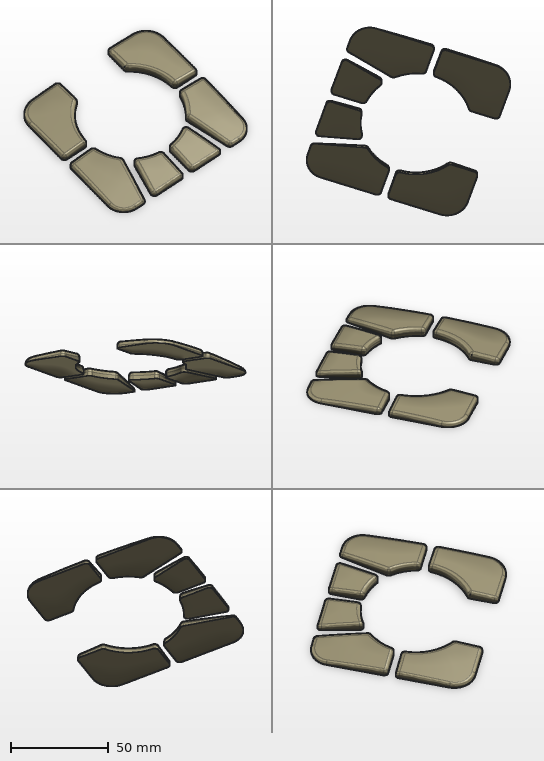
import cadquery as cq
import math

length_x = 86.4
width_y = 88.4
height = 4.4

ring_center_x = -4.0
opening_radius = 28.4
dome_radius = 457.9

column_gap = 4.0
column_gap_x = -1.3
row_gap = 4.3
slant_gap = 4.3
slant_angle = 13.8
slant_end_y = 25.3

left_pad_inner_y = 15.8
left_corner_radius = 11.2
right_corner_radius = 10.3
edge_radius = 2.1

root_depth = 4.4
tolerance = 0.01

half_x = length_x / 2
half_y = width_y / 2

rim_radius = opening_radius + edge_radius
dome_apex = height + dome_radius - math.sqrt(dome_radius**2 - rim_radius**2)

slope = math.tan(math.radians(slant_angle))
slant_half_gap_y = slant_gap / 2 / math.cos(math.radians(slant_angle))



def opening_y(x):
    """Y of the opening circle at a given X."""
    return math.sqrt(opening_radius**2 - (x - ring_center_x) ** 2)


def opening_x(y, side):
    """X of the opening circle at a given Y, on its left (-1) or right (+1) side."""
    return ring_center_x + side * math.sqrt(opening_radius**2 - y**2)


def opening_midpoint(start, end):
    """Point of the opening circle halfway between two of its points."""
    angles = [math.atan2(y, x - ring_center_x) for x, y in (start, end)]
    middle = sum(angles) / 2
    return (
        ring_center_x + opening_radius * math.cos(middle),
        opening_radius * math.sin(middle),
    )


def slant_ends(side):
    """Inner and outer end of one edge of the slanted gap, above (+1) or below (-1) its middle."""
    outer_y = slant_end_y + side * slant_half_gap_y
    rise = outer_y - slope * (half_x - ring_center_x)
    square_term = 1 + slope**2
    half_linear_term = slope * rise
    root = math.sqrt(half_linear_term**2 - square_term * (rise**2 - opening_radius**2))
    run = (root - half_linear_term) / square_term
    inner = (ring_center_x + run, rise + slope * run)
    return inner, (half_x, outer_y)



def edges_to_round(pad, outline):
    """Top rim and the upright edges over the outline's points, leaving the bottom sharp."""
    chosen = []
    for edge in pad.faces("not <Z").edges("not <Z").vals():
        spot = edge.Center()
        upright = abs(edge.tangentAt(0.5).z) > 1 - tolerance
        at_corner = any(math.hypot(spot.x - x, spot.y - y) < tolerance for x, y in outline)
        if at_corner or not upright:
            chosen.append(edge)
    return chosen


def make_pad(outline, big_corner=None, big_radius=None):
    """Domed pad whose outline runs through the points and closes along the opening."""
    pad = (
        cq.Workplane("XY", origin=(0, 0, -root_depth))
        .polyline(outline)
        .threePointArc(opening_midpoint(outline[0], outline[-1]), outline[0])
        .close()
        .extrude(root_depth + dome_apex)
    )

    if big_corner:
        corner_edge = cq.selectors.NearestToPointSelector((*big_corner, 0))
        pad = pad.edges(corner_edge).fillet(big_radius)

    dome = cq.Workplane("XY").sphere(dome_radius)
    pad = pad.intersect(dome.translate((ring_center_x, 0, dome_apex - dome_radius)))

    pad = pad.newObject(edges_to_round(pad, outline)).fillet(edge_radius)

    below = cq.Workplane("XY").box(2 * length_x, 2 * width_y, 2 * root_depth)
    return pad.cut(below.translate((0, 0, -root_depth))).solids()



def make_left_pad():
    gap_x = column_gap_x - column_gap / 2
    big_corner = (-half_x, half_y)
    outline = [
        (opening_x(left_pad_inner_y, -1), left_pad_inner_y),
        (-half_x, left_pad_inner_y),
        big_corner,
        (gap_x, half_y),
        (gap_x, opening_y(gap_x)),
    ]
    return make_pad(outline, big_corner, left_corner_radius)


def make_right_pad():
    gap_x = column_gap_x + column_gap / 2
    big_corner = (half_x, half_y)
    inner, outer = slant_ends(1)
    outline = [(gap_x, opening_y(gap_x)), (gap_x, half_y), big_corner, outer, inner]
    return make_pad(outline, big_corner, right_corner_radius)


def make_small_pad():
    gap_y = row_gap / 2
    inner, outer = slant_ends(-1)
    outline = [inner, outer, (half_x, gap_y), (opening_x(gap_y, 1), gap_y)]
    return make_pad(outline)


bodies = []
for pad in (make_left_pad(), make_right_pad(), make_small_pad()):
    bodies.append(pad.val())
    bodies.append(pad.mirror("XZ").val())

result = cq.Compound.makeCompound(bodies)